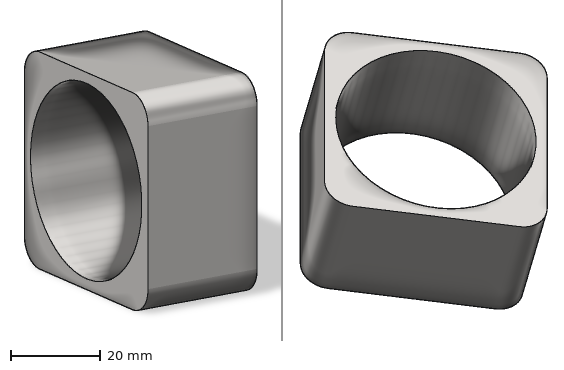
import cadquery as cq

side = 50.8
depth = 29.2
corner_radius = 6.35
bore_diameter = 45.7

block = cq.Workplane("XY").box(side, depth, side).edges("|Y").fillet(corner_radius)

result = block.faces("<Y").workplane(centerOption="CenterOfBoundBox").hole(bore_diameter)